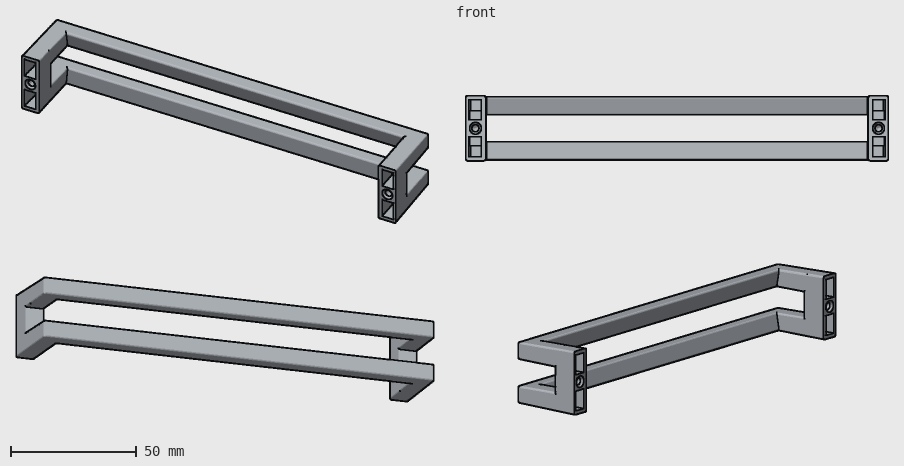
import cadquery as cq
import math

length = 168.0
depth = 29.0
height = 26.0
base_y = -depth / 2
back_y = depth / 2

draft_x = 0.42
draft_z = 0.5

leg_width_base = 7.9
leg_width_bar = 8.4
web_thickness = 10.0

slot_floor_height = 10.2
slot_back_height = 10.8

bar_thickness = 7.0
bar_tilt = 10.0

edge_radius = 0.8

pocket_outer_wall = 1.2
pocket_width = 5.0
pocket_z_near = 3.4
pocket_z_step = 6.9
pocket_z_far = 11.5
pocket_shallow_depth = 8.4
pocket_deep_depth = 14.3
pocket_wall_draft = 3.0
hole_inset = 3.9
hole_diameter = 2.9
hole_depth = 6.7
countersink_diameter = 4.7
countersink_depth = 1.0
drill_point_angle = 118.0

margin = 1.7

tolerance = 0.02


def drafted_block():
    """Full envelope, narrowing from the base to the back."""
    return (
        cq.Workplane("XZ", origin=(0, base_y, 0))
        .rect(length, height)
        .workplane(offset=-depth)
        .rect(length - 2 * draft_x, height - 2 * draft_z)
        .loft(ruled=True)
    )


def cavity_between_legs():
    """Space in front of the bars, with a floor tilted towards the slot on each bar."""
    base_half = length / 2 - leg_width_base
    bar_half = length / 2 - leg_width_bar
    bar_front_y = back_y - bar_thickness
    outer_z = height / 2 - draft_z
    valley_y = bar_front_y + outer_z * math.tan(math.radians(bar_tilt))
    slope = (bar_half - base_half) / (bar_front_y - base_y)
    front_half = base_half - slope * margin
    back_half = base_half + slope * (depth + margin)
    plan = (
        cq.Workplane("XY", origin=(0, 0, -height))
        .moveTo(-front_half, base_y - margin)
        .lineTo(front_half, base_y - margin)
        .lineTo(back_half, back_y + margin)
        .lineTo(-back_half, back_y + margin)
        .close()
        .extrude(2 * height)
    )
    over_y = bar_front_y - margin * math.tan(math.radians(bar_tilt))
    section = (
        cq.Workplane("YZ", origin=(-length, 0, 0))
        .moveTo(base_y - 2 * margin, -outer_z - margin)
        .lineTo(over_y, -outer_z - margin)
        .lineTo(valley_y, 0)
        .lineTo(over_y, outer_z + margin)
        .lineTo(base_y - 2 * margin, outer_z + margin)
        .close()
        .extrude(2 * length)
    )
    return plan.intersect(section)


def slot():
    """Slot through the back of both legs, which also parts the two bars."""
    floor_y = base_y + web_thickness
    return (
        cq.Workplane("YZ", origin=(-length, 0, 0))
        .moveTo(floor_y, -slot_floor_height / 2)
        .lineTo(back_y, -slot_back_height / 2)
        .lineTo(back_y, slot_back_height / 2)
        .lineTo(floor_y, slot_floor_height / 2)
        .close()
        .extrude(2 * length)
    )


def leg_pockets(side):
    """Pair of stepped pockets in the base of one leg; the outer wall is drafted."""
    outer_x = length / 2 - pocket_outer_wall
    inner_x = outer_x - pocket_width

    def step(z_low, step_depth):
        shift = step_depth * math.tan(math.radians(pocket_wall_draft))
        return (
            cq.Workplane("XY", origin=(0, 0, z_low))
            .moveTo(side * inner_x, base_y)
            .lineTo(side * outer_x, base_y)
            .lineTo(side * (outer_x - shift), base_y + step_depth)
            .lineTo(side * inner_x, base_y + step_depth)
            .close()
            .extrude(pocket_z_far - z_low)
        )

    upper = step(pocket_z_near, pocket_shallow_depth).union(
        step(pocket_z_step, pocket_deep_depth)
    )
    return upper.union(upper.mirror("XY"))


def screw_hole(side):
    """Countersunk blind hole with a drill point, in the base of one leg."""
    hole_x = side * (length / 2 - hole_inset)
    radius = hole_diameter / 2
    point = radius / math.tan(math.radians(drill_point_angle / 2))
    return (
        cq.Workplane("XY", origin=(hole_x, base_y, 0))
        .lineTo(countersink_diameter / 2, 0)
        .lineTo(radius, countersink_depth)
        .lineTo(radius, hole_depth)
        .lineTo(0, hole_depth + point)
        .close()
        .revolve(360, (0, 0, 0), (0, 1, 0))
    )


def round_edges(solid):
    """Round every outward edge; the flat base and the inner corners stay sharp."""
    slot_floor_y = base_y + web_thickness

    def stays_sharp(edge):
        box = edge.BoundingBox()
        on_base = box.ymax < base_y + tolerance
        along_x = box.xlen > max(box.ylen, box.zlen)
        along_z = box.zlen > max(box.xlen, box.ylen)
        slot_corner = along_x and box.ymax < slot_floor_y + tolerance
        between_legs = abs(edge.Center().x) < length / 2 - leg_width_base
        bar_end = along_z and between_legs and box.ymin > slot_floor_y + tolerance
        return on_base or slot_corner or bar_end

    rounded = [edge for edge in solid.edges().vals() if not stays_sharp(edge)]
    return solid.newObject(rounded).fillet(edge_radius)


body = drafted_block().cut(cavity_between_legs()).cut(slot())
body = round_edges(body)

result = body
for side in (-1, 1):
    result = result.cut(leg_pockets(side)).cut(screw_hole(side))